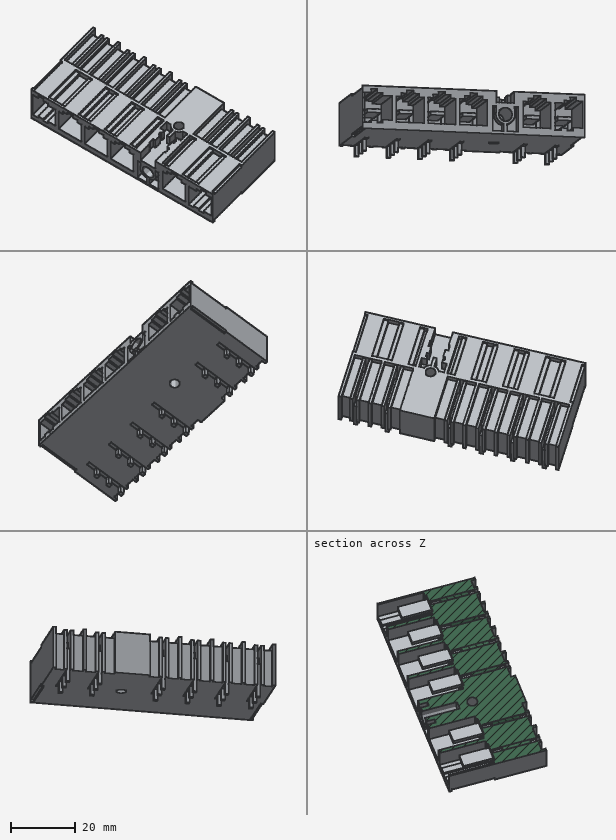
import cadquery as cq
WIDTH = 71.1
DEPTH = 32.0
HEIGHT = 13.6
CELLS = 7
PITCH = WIDTH / CELLS
SCREW_CELL = 4
CONTACT_CELLS = [i for i in range(CELLS) if i != SCREW_CELL]
OVERCUT = 0.7

CAVITY_DEPTH = 14.9
CAVITY_HALF = 4.4
CAVITY_FLOOR = 2.4
CAVITY_SHOULDER = 10.6
KEY_SHOULDER = 11.65
KEY_TOP = 12.6
KEY_SHOULDER_HALF = 2.85
KEY_HALF = 1.1

END_SHOULDER = 11.45
END_STEP = 1.4
END_KEY_NEAR = 0.35
END_KEY_FAR = 2.35
LAST_RIDGE_SHIFT = -0.15
END_LOW_FLOOR = 2.0
END_RIDGE_TOP = 2.7
END_HIGH_FLOOR = 2.9

RELIEF_FRONT = 0.85
RELIEF_BACK = CAVITY_DEPTH
RELIEF_SHALLOW = 0.7
RELIEF_DEEP = 1.85
RELIEF_REACH = (2.4, 1.0)
END_RELIEF_REACH = (4.0, 2.5)
SCREW_RELIEF_REACH = (0.0, 0.0)
CORNER_WIDTH = 0.9

BAY_FRONT = 16.1
BAY_FLOOR = 11.9
BAY_BACK = DEPTH - 1.35
RIB_BACK = DEPTH - 0.4
RIB_TOP = HEIGHT - 0.6
WALL = 0.9
RIB = 0.9

STRIP = 1.15
BLADE_WIDTH = 4.4
BLADE_Z = 6.75
BLADE_TIP = 5.7
COLLAR_WIDTH = 6.4
COLLAR_HEIGHT = 4.2
COLLAR_DEPTH = 0.5
LEG_LENGTH = 3.5
LEG_WIDTH = 1.3
LEG_PITCH = 5.05
LEGS = 3
PLATE_BACK = DEPTH - 1.6
PLATE_FRONT = PLATE_BACK - (LEGS - 1) * LEG_PITCH - LEG_WIDTH
PLATE_TOP = 9.95
PLATE_STEP = DEPTH - 3.55

SCREW_Z = 6.25
SCREW_DIAMETER = 4.3
SCREW_DEPTH = 11.4
COLUMN_RADIUS = 3.05
COLUMN_HALF = 2.9
POCKET_HALF = 4.05
POCKET_BOTTOM = 0.9
POCKET_TOP = 8.8
POCKET_DEPTH = 2.6
WEB = 1.1
CHANNEL_FLOOR = 9.95
CHANNEL_STRETCHES = [
    (2.85, 4.85),
    (3.2, 6.8),
    (2.3, 9.45),
    (3.0, 10.5),
    (2.5, 11.65),
    (POCKET_HALF, CAVITY_DEPTH),
]
BORE_Y = 16.0
BORE_DIAMETER = 3.1
BOSS_RADIUS = 2.55
BOSS_WEB_FRONT = 10.5


def cell_x(index):
    """Centre of a cell along X."""
    return (index + 0.5) * PITCH


SCREW_X = cell_x(SCREW_CELL)


def block(x0, x1, y0, y1, z0, z1):
    """Box between two opposite corners."""
    return cq.Workplane("XY").box(x1 - x0, y1 - y0, z1 - z0, centered=False).translate((x0, y0, z0))


def front_pocket(points, x, depth):
    """Prism from the front face inward; points are X offsets from x, and Z."""
    plane = cq.Workplane("XZ", origin=(x, 0, 0))
    return plane.polyline(points).close().extrude(-depth)


def middle_cavity_points():
    """Symmetric outline with a two-step key on top."""
    right = [
        (CAVITY_HALF, CAVITY_FLOOR),
        (CAVITY_HALF, CAVITY_SHOULDER),
        (KEY_SHOULDER_HALF, CAVITY_SHOULDER),
        (KEY_SHOULDER_HALF, KEY_SHOULDER),
        (KEY_HALF, KEY_SHOULDER),
        (KEY_HALF, KEY_TOP),
    ]
    return right + [(-x, z) for x, z in reversed(right)]


def end_cavity_points(last):
    """The key on top is mirrored at the last cell; the floor steps are nearly alike at both ends."""
    left_floor, right_floor = END_LOW_FLOOR, END_HIGH_FLOOR
    shift = LAST_RIDGE_SHIFT if last else 0
    ridge_left = shift - END_KEY_FAR
    ridge_right = shift - END_KEY_NEAR
    bottom = [
        (-CAVITY_HALF, left_floor),
        (ridge_left, left_floor),
        (ridge_left, END_RIDGE_TOP),
        (ridge_right, END_RIDGE_TOP),
        (ridge_right, left_floor),
        (END_STEP, left_floor),
        (END_STEP, right_floor),
        (CAVITY_HALF, right_floor),
    ]
    top = [
        (CAVITY_HALF, CAVITY_SHOULDER),
        (END_STEP, CAVITY_SHOULDER),
        (END_STEP, END_SHOULDER),
        (-END_KEY_NEAR, END_SHOULDER),
        (-END_KEY_NEAR, KEY_TOP),
        (-END_KEY_FAR, KEY_TOP),
        (-END_KEY_FAR, END_SHOULDER),
        (-CAVITY_HALF, END_SHOULDER),
    ]
    if last:
        top = [(-x, z) for x, z in reversed(top)]
    return bottom + top


def cut_cavities(body):
    """Plug cavity in the front of each contact cell."""
    for index in CONTACT_CELLS:
        if index in (0, CELLS - 1):
            points = end_cavity_points(index == CELLS - 1)
        else:
            points = middle_cavity_points()
        body = body.cut(front_pocket(points, cell_x(index), CAVITY_DEPTH))
    return body


def relief_reach(index):
    """Reach of the shallow and deep groove steps into a cell."""
    if index == SCREW_CELL:
        return SCREW_RELIEF_REACH
    if index in (0, CELLS - 1):
        return END_RELIEF_REACH
    return RELIEF_REACH


def cut_reliefs(body):
    """Stepped groove in the top at each boundary between two cells."""
    for index in range(CELLS - 1):
        boundary = (index + 1) * PITCH
        steps = zip(relief_reach(index), relief_reach(index + 1), (RELIEF_SHALLOW, RELIEF_DEEP))
        for left, right, depth in steps:
            x0, x1 = boundary - left, boundary + right
            body = body.cut(block(x0, x1, RELIEF_FRONT, RELIEF_BACK, HEIGHT - depth, HEIGHT + OVERCUT))
    return body


def cut_corners(body):
    """Shallow recesses along the four long edges beside the end cavities."""
    for x in (0, WIDTH - CORNER_WIDTH):
        for z in (0, HEIGHT - RELIEF_SHALLOW):
            body = body.cut(block(x, x + CORNER_WIDTH, RELIEF_FRONT, RELIEF_BACK, z, z + RELIEF_SHALLOW))
    return body


def cut_rear_bays(body):
    """Open a bay above and behind the floor of each contact cell, then stand two ribs in it."""
    for index in CONTACT_CELLS:
        left_wall = WALL if index == 0 else WALL / 2
        right_wall = WALL if index == CELLS - 1 else WALL / 2
        x0 = index * PITCH + left_wall
        x1 = (index + 1) * PITCH - right_wall
        body = body.cut(block(x0, x1, BAY_FRONT, DEPTH + OVERCUT, BAY_FLOOR, HEIGHT + OVERCUT))
        body = body.cut(block(x0, x1, BAY_BACK, DEPTH + OVERCUT, -OVERCUT, HEIGHT + OVERCUT))
        half = STRIP / 2 + RIB
        x = cell_x(index)
        body = body.union(block(x - half, x + half, BAY_FRONT, RIB_BACK, 0, RIB_TOP))
    return body


def cut_contact_seats(body):
    """Slot between the ribs, blade opening and collar recess for each contact."""
    for index in CONTACT_CELLS:
        x = cell_x(index)
        slot = block(
            x - STRIP / 2, x + STRIP / 2, BAY_FRONT, DEPTH + OVERCUT, -OVERCUT, HEIGHT + OVERCUT
        )
        body = body.cut(slot).cut(blade(x))
        collar = block(
            x - COLLAR_WIDTH / 2, x + COLLAR_WIDTH / 2, CAVITY_DEPTH, CAVITY_DEPTH + COLLAR_DEPTH,
            BLADE_Z - COLLAR_HEIGHT / 2, BLADE_Z + COLLAR_HEIGHT / 2,
        )
        body = body.cut(collar)
    return body


def cut_screw_pockets(body):
    """Pockets around the screw column, which hangs from above and stands on a web."""
    pocket = block(
        SCREW_X - POCKET_HALF, SCREW_X + POCKET_HALF, -OVERCUT, POCKET_DEPTH, POCKET_BOTTOM, POCKET_TOP
    )
    column = (
        cq.Workplane("XZ", origin=(SCREW_X, -OVERCUT, SCREW_Z))
        .circle(COLUMN_RADIUS)
        .extrude(-POCKET_DEPTH - OVERCUT)
    )
    hanger = block(
        SCREW_X - COLUMN_HALF, SCREW_X + COLUMN_HALF, -OVERCUT, POCKET_DEPTH, SCREW_Z, POCKET_TOP
    )
    web = block(SCREW_X - WEB / 2, SCREW_X + WEB / 2, -OVERCUT, POCKET_DEPTH, POCKET_BOTTOM, SCREW_Z)
    screw_hole = (
        cq.Workplane("XZ", origin=(SCREW_X, 0, SCREW_Z))
        .circle(SCREW_DIAMETER / 2)
        .extrude(-SCREW_DEPTH)
    )
    return body.cut(pocket.cut(column).cut(hanger).cut(web)).cut(screw_hole)


def cut_screw_channel(body):
    """Stepped channel in the top, around a bored boss with a web pointing forward."""
    boss = (
        cq.Workplane("XY", origin=(SCREW_X, BORE_Y, CHANNEL_FLOOR))
        .circle(BOSS_RADIUS)
        .extrude(HEIGHT + OVERCUT - CHANNEL_FLOOR)
    )
    web = block(
        SCREW_X - WEB / 2, SCREW_X + WEB / 2, BOSS_WEB_FRONT, BORE_Y, CHANNEL_FLOOR, HEIGHT + OVERCUT
    )
    y = -OVERCUT
    for half, end in CHANNEL_STRETCHES:
        stretch = block(SCREW_X - half, SCREW_X + half, y, end, CHANNEL_FLOOR, HEIGHT + OVERCUT)
        body = body.cut(stretch.cut(boss).cut(web))
        y = end
    bore = cq.Workplane("XY", origin=(SCREW_X, BORE_Y, 0)).circle(BORE_DIAMETER / 2).extrude(HEIGHT)
    return body.cut(bore)


def blade(x):
    """Flat blade from the bay front into the cavity."""
    return block(
        x - BLADE_WIDTH / 2, x + BLADE_WIDTH / 2, BLADE_TIP, BAY_FRONT,
        BLADE_Z - STRIP / 2, BLADE_Z + STRIP / 2,
    )


def make_contact(x):
    """Upright plate with legs at its lower edge and a flat blade at its front."""
    arm_top = BLADE_Z + STRIP / 2
    x0, x1 = x - STRIP / 2, x + STRIP / 2
    contact = blade(x).union(block(x0, x1, BAY_FRONT, PLATE_BACK, 0, arm_top))
    contact = contact.union(block(x0, x1, PLATE_FRONT, PLATE_STEP, arm_top, PLATE_TOP))
    for leg in range(LEGS):
        back = PLATE_BACK - leg * LEG_PITCH
        contact = contact.union(block(x0, x1, back - LEG_WIDTH, back, -LEG_LENGTH, 0))
    return contact


def make_housing():
    """Housing block with all its cavities, bays and contact seats."""
    body = block(0, WIDTH, 0, DEPTH, 0, HEIGHT)
    body = cut_rear_bays(body)
    body = cut_cavities(body)
    body = cut_reliefs(body)
    body = cut_corners(body)
    body = cut_contact_seats(body)
    body = cut_screw_pockets(body)
    return cut_screw_channel(body)


housing = make_housing()
contacts = [make_contact(cell_x(index)) for index in CONTACT_CELLS]
result = cq.Compound.makeCompound([housing.val(), *[contact.val() for contact in contacts]])